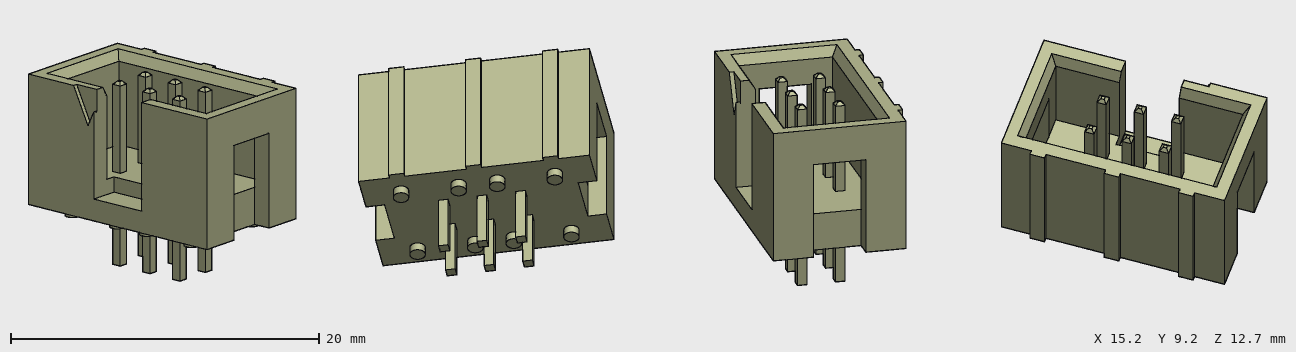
import cadquery as cq


length = 15.24
overall_depth = 9.2
overall_height = 12.65
key_rib_depth = 0.3
key_rib_width = 1.0
key_rib_x = 5.07
depth = overall_depth - key_rib_depth
height = 8.87
front_y = -depth / 2

end_wall = 1.23
side_wall = 1.31
cavity_length = length - 2 * end_wall
cavity_depth = depth - 2 * side_wall
floor_height = 2.53
bevel_width = 0.41
bevel_height = 0.67

notch_width = 4.08
notch_depth = 2.01
notch_floor = 1.5
window_width = 3.5
window_height = 6.45

pitch = 2.55
columns = 3
rows = 2
pin_width = 0.64
pin_top = 8.67
pin_tail = overall_height - height
tip_bevel = 0.21

mark_half_width = 1.22
mark_height = 2.48
mark_depth = 0.3

foot_diameter = 1.0
foot_height = 0.56
foot_y = 3.0
outer_foot_x = key_rib_x
inner_foot_x = pitch / 2


def box(size_x, size_y, bottom, top, x=0.0, y=0.0):
    """Box centred on (x, y), spanning bottom to top in Z."""
    return cq.Workplane("XY", origin=(x, y, bottom)).rect(size_x, size_y).extrude(top - bottom)


def cavity():
    well = box(cavity_length, cavity_depth, floor_height, height)
    mouth = (
        cq.Workplane("XY", origin=(0, 0, height - bevel_height))
        .rect(cavity_length, cavity_depth)
        .workplane(offset=bevel_height)
        .rect(cavity_length + 2 * bevel_width, cavity_depth + 2 * bevel_width)
        .loft(ruled=True)
    )
    return well.union(mouth)


def pin_one_mark():
    mark_x = -pitch * (columns - 1) / 2
    return (
        cq.Workplane("XZ", origin=(mark_x, front_y, height))
        .polyline([(-mark_half_width, 0), (mark_half_width, 0), (0, -mark_height)])
        .close()
        .extrude(-mark_depth)
    )


def housing():
    body = box(length, depth, 0, height).cut(cavity())
    notch_y = front_y + notch_depth / 2
    body = body.cut(box(notch_width, notch_depth, notch_floor, height, y=notch_y))
    for side in (-1, 1):
        window_x = side * (length - end_wall) / 2
        body = body.cut(box(end_wall, window_width, 0, window_height, x=window_x))
    body = body.cut(pin_one_mark())
    rib_size = key_rib_depth + side_wall / 2
    rib_y = depth / 2 + key_rib_depth - rib_size / 2
    for rib_x in (-key_rib_x, 0, key_rib_x):
        body = body.union(box(key_rib_width, rib_size, 0, height, x=rib_x, y=rib_y))
    return body


def pins():
    pin = box(pin_width, pin_width, -pin_tail, pin_top).faces(">Z").chamfer(tip_bevel)
    spots = cq.Workplane("XY").rarray(pitch, pitch, columns, rows)
    return spots.eachpoint(pin.val(), combine="a")


def feet():
    spots = [
        (x, y)
        for x in (-outer_foot_x, -inner_foot_x, inner_foot_x, outer_foot_x)
        for y in (-foot_y, foot_y)
    ]
    return cq.Workplane("XY").pushPoints(spots).circle(foot_diameter / 2).extrude(-foot_height)


result = housing().union(pins()).union(feet())